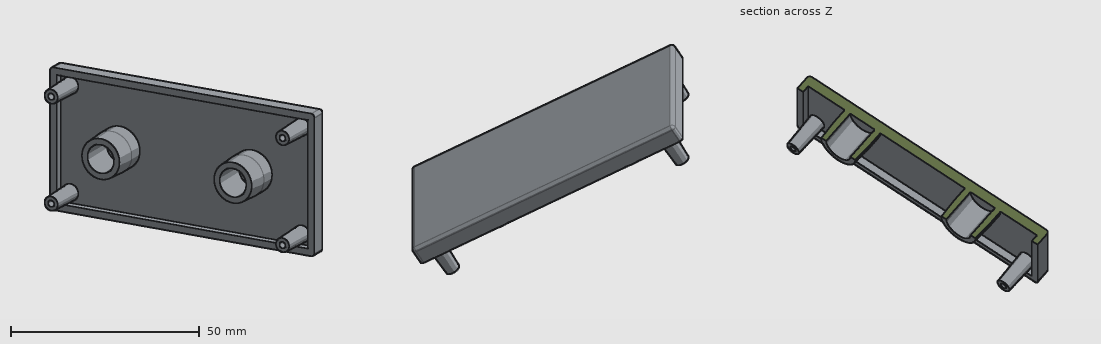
import cadquery as cq
import math

plate_length = 80.0
plate_height = 40.0
plate_depth = 5.2
edge_radius = 1.0
wall = 2.0
floor_thickness = 3.0
overall_depth = 13.6

back_y = 0.0
floor_y = back_y - floor_thickness
rim_y = back_y - plate_depth
tip_y = back_y - overall_depth
post_length = floor_y - tip_y

boss_spacing = 40.0
boss_diameter = 12.0
boss_bore = 8.0
boss_nose_length = 6.0
boss_draft = 3.0

pin_spacing_x = 70.0
pin_spacing_z = 30.0
pin_tip_diameter = 4.0
pin_hole = 1.8
pin_draft = 2.0


def taper_offset(length, draft_degrees):
    """Change of radius over a drafted length."""
    return length * math.tan(math.radians(draft_degrees))


def make_tray():
    """Flat plate with rounded outer edges and a rectangular recess."""
    tray = (
        cq.Workplane("XY")
        .box(plate_length, plate_depth, plate_height)
        .translate((0, (back_y + rim_y) / 2, 0))
        .edges("|Y or >Y")
        .fillet(edge_radius)
    )
    recess_depth = plate_depth - floor_thickness
    recess = (
        cq.Workplane("XY")
        .box(plate_length - 2 * wall, recess_depth, plate_height - 2 * wall)
        .translate((0, (floor_y + rim_y) / 2, 0))
    )
    return tray.cut(recess)


def revolve_about_y(profile):
    """Solid of revolution from (radius, y) points, turned about the Y axis."""
    section = cq.Workplane("XY").polyline(profile).close()
    return section.revolve(360, (0, 0, 0), (0, 1, 0))


def make_boss():
    """Hollow boss whose bore stops at the tray floor."""
    outer_radius = boss_diameter / 2
    bore_radius = boss_bore / 2
    tip_radius = outer_radius - taper_offset(boss_nose_length, boss_draft)
    return revolve_about_y([
        (bore_radius, floor_y),
        (outer_radius, floor_y),
        (outer_radius, tip_y + boss_nose_length),
        (tip_radius, tip_y),
        (bore_radius, tip_y),
    ])


def make_pin():
    """Tapered pin whose pilot hole stops at the tray floor."""
    tip_radius = pin_tip_diameter / 2
    hole_radius = pin_hole / 2
    base_radius = tip_radius + taper_offset(post_length, pin_draft)
    return revolve_about_y([
        (hole_radius, floor_y),
        (base_radius, floor_y),
        (tip_radius, tip_y),
        (hole_radius, tip_y),
    ])


result = make_tray()
for side_x in (-1, 1):
    result = result.union(make_boss().translate((side_x * boss_spacing / 2, 0, 0)))
    for side_z in (-1, 1):
        pin_place = (side_x * pin_spacing_x / 2, 0, side_z * pin_spacing_z / 2)
        result = result.union(make_pin().translate(pin_place))